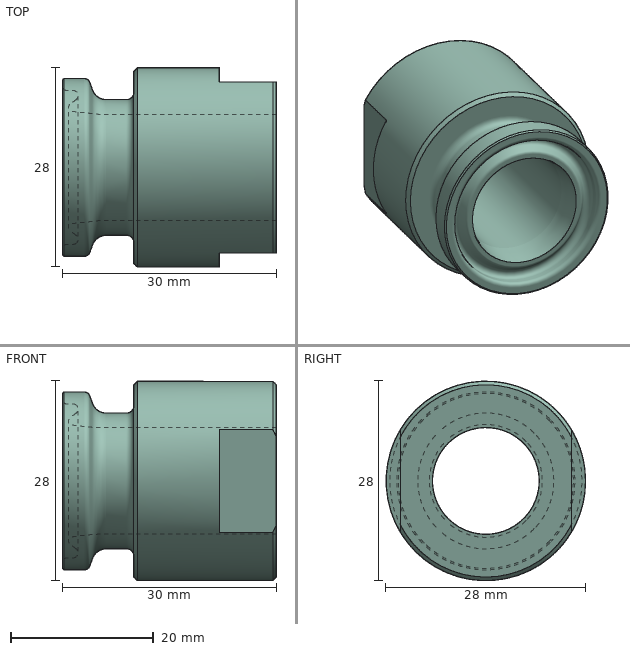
import cadquery as cq
import math

length = 30.0
body_diameter = 28.0
body_radius = body_diameter / 2
body_start = 10.0
body_chamfer = 0.5

flange_diameter = 25.0
flange_radius = flange_diameter / 2
flange_face_chamfer = 0.2
flange_back_angle = math.radians(20)
rim_round = 0.85
neck_radius = 9.55
neck_start = 6.12
neck_round = 2.0
shoulder_round = 1.0

groove_outer_radius = 11.4
groove_edge_round = 0.6
groove_wall_length = 0.87
groove_round = 0.72
inner_wall_angle = math.radians(35)
lip_depth = 0.87
lip_outer_radius = 8.52
lip_round = 0.48

mouth_radius = 7.92
bore_radius = 7.47
taper_end = 5.0

flat_distance = 24.0
flat_length = 8.0


def arc_middle(center, radius, start_angle, end_angle):
    """Point halfway along an arc, with angles measured from +X."""
    return arc_end(center, radius, (start_angle + end_angle) / 2)


def arc_end(center, radius, angle):
    """Point on a circle, with the angle measured from +X."""
    return center[0] + radius * math.cos(angle), center[1] + radius * math.sin(angle)


def make_outer_body():
    """Flange, neck and main cylinder turned from one profile."""
    neck_center = (neck_start, neck_radius + neck_round)
    neck_low = -math.pi / 2
    neck_high = -math.pi + flange_back_angle
    slope_bottom = arc_end(neck_center, neck_round, neck_high)

    rim_center_radius = flange_radius - rim_round
    slope_top_radius = rim_center_radius + rim_round * math.sin(flange_back_angle)
    slope_top_x = slope_bottom[0] - (slope_top_radius - slope_bottom[1]) * math.tan(flange_back_angle)
    rim_start = slope_top_x - rim_round * math.cos(flange_back_angle)
    rim_center = (rim_start, rim_center_radius)

    shoulder_start = body_start - shoulder_round
    shoulder_center = (shoulder_start, neck_radius + shoulder_round)

    profile = (
        cq.Workplane("XY")
        .moveTo(0, 0)
        .lineTo(0, flange_radius - flange_face_chamfer)
        .lineTo(flange_face_chamfer, flange_radius)
        .lineTo(rim_start, flange_radius)
        .threePointArc(
            arc_middle(rim_center, rim_round, math.pi / 2, flange_back_angle),
            (slope_top_x, slope_top_radius),
        )
        .lineTo(*slope_bottom)
        .threePointArc(
            arc_middle(neck_center, neck_round, neck_low, neck_high),
            (neck_start, neck_radius),
        )
        .lineTo(shoulder_start, neck_radius)
        .threePointArc(
            arc_middle(shoulder_center, shoulder_round, -math.pi / 2, 0),
            (body_start, neck_radius + shoulder_round),
        )
        .lineTo(body_start, body_radius - body_chamfer)
        .lineTo(body_start + body_chamfer, body_radius)
        .lineTo(length - body_chamfer, body_radius)
        .lineTo(length, body_radius - body_chamfer)
        .lineTo(length, 0)
        .close()
    )
    return profile.revolve(360, (0, 0, 0), (1, 0, 0))


def make_gasket_seat():
    """Round-bottomed ring groove and the recess in front of the inner lip."""
    edge_center = (groove_edge_round, groove_outer_radius)
    wall_radius = groove_outer_radius - groove_edge_round
    wall_end_x = groove_edge_round + groove_wall_length

    arc_end_angle = -math.pi / 2 + inner_wall_angle
    groove_center = (wall_end_x, wall_radius - groove_round)
    cone_start = arc_end(groove_center, groove_round, arc_end_angle)

    lip_center = (lip_depth + lip_round, lip_outer_radius)
    lip_end_angle = math.pi / 2 + inner_wall_angle
    cone_end = arc_end(lip_center, lip_round, lip_end_angle)

    profile = (
        cq.Workplane("XY")
        .moveTo(0, 0)
        .lineTo(0, groove_outer_radius)
        .threePointArc(
            arc_middle(edge_center, groove_edge_round, -math.pi, -math.pi / 2),
            (groove_edge_round, wall_radius),
        )
        .lineTo(wall_end_x, wall_radius)
        .threePointArc(
            arc_middle(groove_center, groove_round, math.pi / 2, arc_end_angle),
            cone_start,
        )
        .lineTo(*cone_end)
        .threePointArc(
            arc_middle(lip_center, lip_round, lip_end_angle, math.pi),
            (lip_depth, lip_outer_radius),
        )
        .lineTo(lip_depth, 0)
        .close()
    )
    return profile.revolve(360, (0, 0, 0), (1, 0, 0))


def make_bore():
    """Through bore, tapering from the lip down to its final radius."""
    profile = (
        cq.Workplane("XY")
        .moveTo(lip_depth, 0)
        .lineTo(lip_depth, mouth_radius)
        .lineTo(taper_end, bore_radius)
        .lineTo(length, bore_radius)
        .lineTo(length, 0)
        .close()
    )
    return profile.revolve(360, (0, 0, 0), (1, 0, 0))


def make_flat_cutter(side):
    """Block outside one wrench flat; side is -1 or 1 along Y."""
    depth = body_radius - flat_distance / 2
    return cq.Workplane("XY").box(flat_length, depth, 2 * body_radius).translate(
        (length - flat_length / 2, side * (flat_distance + depth) / 2, 0)
    )


result = make_outer_body().cut(make_gasket_seat()).cut(make_bore())
for side in (-1, 1):
    result = result.cut(make_flat_cutter(side))